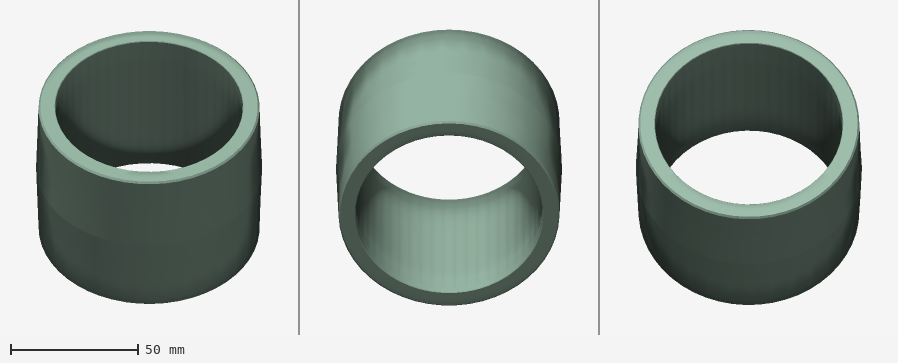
import cadquery as cq

height = 66.7
middle_diameter = 88.9
end_diameter = 86.9
bore_diameter = 73.8
outer_chamfer = 0.7
bore_chamfer = 0.3

half_height = height / 2
middle_radius = middle_diameter / 2
end_radius = end_diameter / 2
bore_radius = bore_diameter / 2

wall_section = (
    cq.Workplane("XZ")
    .moveTo(bore_radius, -half_height + bore_chamfer)
    .lineTo(bore_radius + bore_chamfer, -half_height)
    .lineTo(end_radius - outer_chamfer, -half_height)
    .lineTo(end_radius, -half_height + outer_chamfer)
    .lineTo(middle_radius, 0)
    .lineTo(end_radius, half_height - outer_chamfer)
    .lineTo(end_radius - outer_chamfer, half_height)
    .lineTo(bore_radius + bore_chamfer, half_height)
    .lineTo(bore_radius, half_height - bore_chamfer)
    .close()
)

result = wall_section.revolve(360, (0, 0, 0), (0, 1, 0))